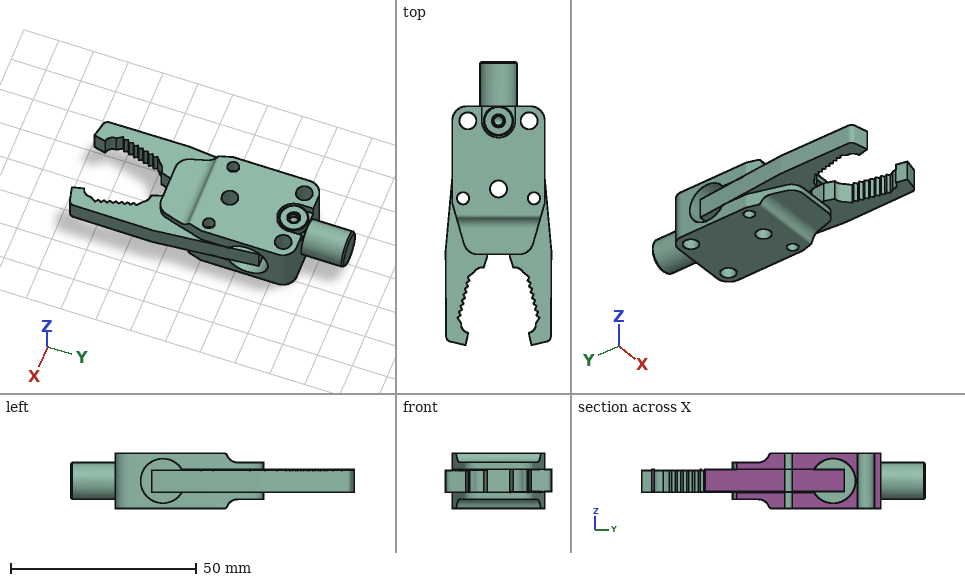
import cadquery as cq
import math


housing_width = 25.0
housing_height = 15.0
housing_length = 40.0
rear_corner_radius = 4.0
taper_start_y = -26.0
taper_angle = 16.0
nose_corner_radius = 4.0

nose_height = 10.0
step_start_y = -29.3
shoulder_radius = 1.0
hollow_radius = 3.0

shank_diameter = 10.0
shank_length = 12.0
shank_chamfer = 0.5

mount_hole_diameter = 4.5
rear_hole_x = 8.25
rear_hole_y = -4.0
center_hole_y = -22.3
pivot_diameter = 3.2
pivot_x = 9.55
pivot_y = -24.85

slot_height = 6.2
web_half_width = 3.2
web_front_y = -36.3
window_diameter = 12.0
window_y = -12.85

screw_y = -4.0
screw_diameter = 7.95
screw_chamfer = 0.2
recess_width = 9.0
recess_depth = (housing_height - shank_diameter) / 2
hex_corner_diameter = 2.9
hex_depth = 1.7
socket_rim_diameter = 3.6
socket_cone_depth = 0.7

jaw_thickness = 6.0
jaw_rear_y = -9.8
jaw_rear_x = 11.6
jaw_elbow = (14.3, -39.15)
jaw_front_x = 14.15
jaw_tip = (8.9, shank_length - 76.5)
jaw_tip_rise = 1.2
jaw_tip_radius = 1.5
hook_point = (8.1, -61.1)
hook_arc_middle = (9.55, -60.25)
hook_arc_end = (10.0, -58.6)
throat_corner = (3.0, -40.45)
throat_end = (4.0, -43.5)
throat_arc_middle = (5.6, -43.8)
throat_arc_end = (6.6, -44.7)
tooth_count = 7
tooth_pitch = 1.6
tooth_depth = 0.7
teeth_angle = 14.3
teeth_start = (8.25, -46.1)


def box(x_range, y_range, z_range):
    """Box between the given pairs of limits."""
    return cq.Workplane("XY").box(
        x_range[1] - x_range[0], y_range[1] - y_range[0], z_range[1] - z_range[0], centered=False
    ).translate((x_range[0], y_range[0], z_range[0]))


def vertical_holes(points, diameter):
    """Cylinders that pass through the full housing height."""
    return (
        cq.Workplane("XY", origin=(0, 0, -housing_height / 2))
        .pushPoints(points)
        .circle(diameter / 2)
        .extrude(housing_height)
    )


def pivot_holes():
    return vertical_holes([(-pivot_x, pivot_y), (pivot_x, pivot_y)], pivot_diameter)


def housing_block():
    """Plate-shaped block with rounded rear corners and a tapered, rounded nose."""
    half_width = housing_width / 2
    taper_length = housing_length + taper_start_y
    nose_half_width = half_width - taper_length * math.tan(math.radians(taper_angle))
    half_outline = [(half_width, 0), (half_width, taper_start_y), (nose_half_width, -housing_length)]
    outline = half_outline + [(-x, y) for x, y in reversed(half_outline)]
    block = (
        cq.Workplane("XY", origin=(0, 0, -housing_height / 2))
        .polyline(outline)
        .close()
        .extrude(housing_height)
    )
    block = block.edges("|Z and >Y").fillet(rear_corner_radius)
    return block.edges("|Z and <Y").fillet(nose_corner_radius)


def nose_step():
    """Material removed above the nose: a rounded shoulder that runs tangentially into a hollow curve."""
    top_z = housing_height / 2
    nose_z = nose_height / 2
    bend_angle = math.acos(1 - (top_z - nose_z) / (shoulder_radius + hollow_radius))

    def shoulder_point(angle):
        """Point on the shoulder arc where the surface slopes down by the given angle."""
        return (
            step_start_y - shoulder_radius * math.sin(angle),
            top_z - shoulder_radius * (1 - math.cos(angle)),
        )

    step_end_y = step_start_y - (shoulder_radius + hollow_radius) * math.sin(bend_angle)

    def hollow_point(angle):
        """Point on the hollow arc where the surface slopes down by the given angle."""
        return (
            step_end_y + hollow_radius * math.sin(angle),
            nose_z + hollow_radius * (1 - math.cos(angle)),
        )

    return (
        cq.Workplane("YZ", origin=(-housing_width / 2, 0, 0))
        .moveTo(step_start_y, top_z)
        .threePointArc(shoulder_point(bend_angle / 2), shoulder_point(bend_angle))
        .threePointArc(hollow_point(bend_angle / 2), (step_end_y, nose_z))
        .lineTo(-housing_length, nose_z)
        .lineTo(-housing_length, top_z)
        .close()
        .extrude(housing_width)
    )


def jaw_slot():
    """Right-hand slot: open to the side and the front, closed by the central web."""
    half_height = slot_height / 2
    z_range = (-half_height, half_height)
    side = box((web_half_width, housing_width / 2), (-housing_length, jaw_rear_y), z_range)
    front = box((0, web_half_width), (-housing_length, web_front_y), z_range)
    window = (
        cq.Workplane("YZ", origin=(web_half_width, 0, 0))
        .center(window_y, 0)
        .circle(window_diameter / 2)
        .extrude(housing_width / 2 - web_half_width)
    )
    return side.union(front).union(window)


def screw_recess():
    """Flat-bottomed recess with a round front end, open to the rear."""
    floor = cq.Workplane("XY", origin=(0, 0, housing_height / 2 - recess_depth))
    half_width = recess_width / 2
    return (
        floor.moveTo(-half_width, 0)
        .lineTo(-half_width, screw_y)
        .threePointArc((0, screw_y - half_width), (half_width, screw_y))
        .lineTo(half_width, 0)
        .close()
        .extrude(recess_depth)
    )


def make_housing():
    shank = cq.Workplane("XZ").circle(shank_diameter / 2).extrude(-shank_length)
    shank = shank.faces(">Y").chamfer(shank_chamfer)
    mount_points = [(-rear_hole_x, rear_hole_y), (rear_hole_x, rear_hole_y), (0, center_hole_y)]
    step = nose_step()
    slot = jaw_slot()
    body = housing_block().cut(step).cut(step.mirror("XY"))
    body = body.cut(slot).cut(slot.mirror("YZ"))
    body = body.cut(vertical_holes(mount_points, mount_hole_diameter)).cut(pivot_holes())
    return body.cut(screw_recess()).union(shank)


def make_screw():
    """Screw head flush with the top face, with a hexagonal socket that ends in a cone."""
    top_z = housing_height / 2
    top = cq.Workplane("XY", origin=(0, screw_y, top_z))
    head = top.circle(screw_diameter / 2).extrude(-recess_depth).faces(">Z").chamfer(screw_chamfer)
    hexagon = top.polygon(6, hex_corner_diameter).extrude(-hex_depth)
    cone_radius = hex_corner_diameter / 2 * math.cos(math.radians(30))
    down = cq.Vector(0, 0, -1)
    cone = cq.Solid.makeCone(
        cone_radius, 0, socket_cone_depth, cq.Vector(0, screw_y, top_z - hex_depth), down
    )
    rim_depth = (socket_rim_diameter - hex_corner_diameter) / 2
    rim = cq.Solid.makeCone(
        socket_rim_diameter / 2, hex_corner_diameter / 2, rim_depth, cq.Vector(0, screw_y, top_z), down
    )
    return head.cut(hexagon).cut(cq.Workplane(cone)).cut(cq.Workplane(rim))


def tooth_points():
    """Zigzag of the gripping teeth from the throat to the hook, ending on valleys."""
    angle = math.radians(teeth_angle)
    along = (math.sin(angle), -math.cos(angle))
    inward = (-math.cos(angle), -math.sin(angle))
    points = []
    for step in range(2 * tooth_count + 1):
        distance = step * tooth_pitch / 2
        height = tooth_depth if step % 2 else 0
        points.append(
            (
                teeth_start[0] + along[0] * distance + inward[0] * height,
                teeth_start[1] + along[1] * distance + inward[1] * height,
            )
        )
    return points


def make_jaw(side):
    """Jaw on the +X side (side = 1) or the -X side (side = -1).

    The right jaw rests against the top of the slot and the left jaw against the bottom.
    """
    bottom_z = side * (slot_height - jaw_thickness) / 2 - jaw_thickness / 2
    front_corner = (jaw_front_x, jaw_tip[1] + jaw_tip_rise)
    sketch = (
        cq.Workplane("XY", origin=(0, 0, bottom_z))
        .moveTo(web_half_width, jaw_rear_y)
        .lineTo(jaw_rear_x, jaw_rear_y)
        .lineTo(*jaw_elbow)
        .lineTo(*front_corner)
        .lineTo(*jaw_tip)
        .lineTo(*hook_point)
        .threePointArc(hook_arc_middle, hook_arc_end)
    )
    for point in reversed(tooth_points()):
        sketch = sketch.lineTo(*point)
    sketch = (
        sketch.lineTo(*throat_arc_end)
        .threePointArc(throat_arc_middle, throat_end)
        .lineTo(*throat_corner)
        .lineTo(web_half_width, web_front_y)
        .close()
    )
    jaw = sketch.extrude(jaw_thickness)
    corner_edge = cq.selectors.NearestToPointSelector((*front_corner, bottom_z + jaw_thickness / 2))
    jaw = jaw.edges("|Z").edges(corner_edge).fillet(jaw_tip_radius)
    if side < 0:
        jaw = jaw.mirror("YZ")
    return jaw.cut(pivot_holes())


housing = make_housing()
screw = make_screw()
jaws = [make_jaw(side) for side in (-1, 1)]

result = cq.Compound.makeCompound([housing.val(), screw.val(), *[jaw.val() for jaw in jaws]])